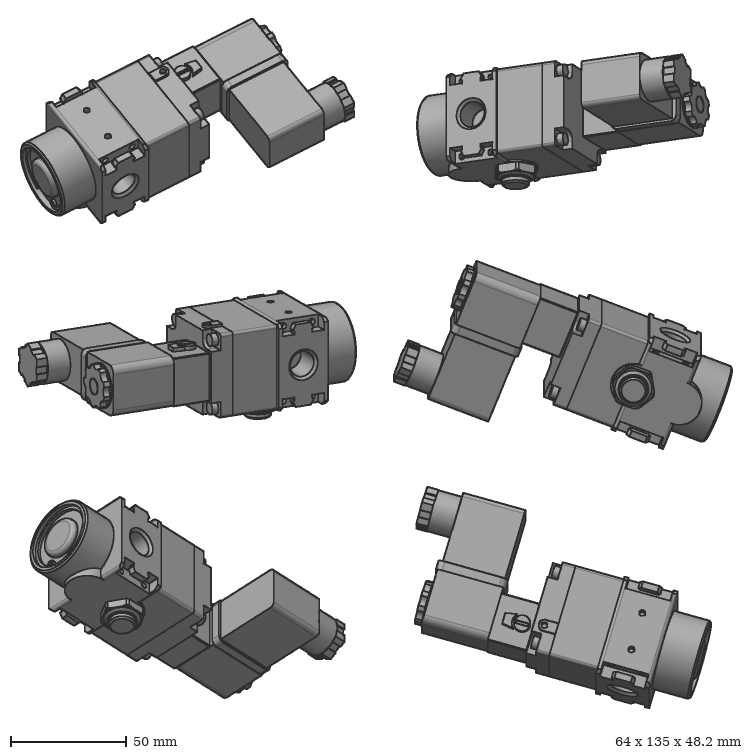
import cadquery as cq
import math


BLOCK_WIDTH = 45.0
BLOCK_LENGTH = 24.0
BLOCK_HEIGHT = 40.0
BLOCK_CHAMFER = 2.0
BLOCK_FILLET = 1.5
PORT_Y = BLOCK_LENGTH / 2
PORT_DIAMETER = 11.5
PORT_MOUTH_DIAMETER = 14.0
PORT_DEPTH = 13.5
GAUGE_HOLE_DIAMETER = 2.7
GAUGE_HOLE_DEPTH = 4.0
GAUGE_HOLE_X = 8.5

POCKET_LENGTH = 20.2
POCKET_WIDTH = 5.4
POCKET_HEIGHT = 5.7
TAB_THICKNESS = 3.0
TAB_ROOT_HALF_WIDTH = 4.3
TAB_BULGE_HALF_WIDTH = 5.0
TAB_TIP_HALF_WIDTH = 3.6
TAB_BULGE_START = 1.2
TAB_BULGE_PEAK = 2.0
TAB_HEIGHT = 4.5
CLAMP_HOLE_DIAMETER = 2.7
CLAMP_HOLE_DEPTH = 2.7
CLAMP_HOLE_TIP = 0.8
CLAMP_HOLE_SPACING = 13.9
CLAMP_HOLE_Z = 17.0

BODY_X = 0.3
BODY_WIDTH = 42.0
BODY_HEIGHT = 38.3
BODY_END_Y = 45.6
CAP_END_Y = 56.0
BODY_FILLET = 1.2
SCREW_X = 16.3
SCREW_Z = 15.5
SCREW_HEAD_DIAMETER = 5.5
SCREW_HEAD_HEIGHT = 3.0
SCREW_POCKET_RADIUS = 3.8
SCREW_POCKET_DEPTH = 4.5

HOUSING_DIAMETER = 35.2
HOUSING_LENGTH = 16.7
HOUSING_CHAMFER = 0.8
RECESS_DIAMETER = 30.6
RECESS_DEPTH = 3.0
RING_INNER_DIAMETER = 27.7
RING_THICKNESS = 1.4
LUG_X = 6.1
LUG_Z = -11.3
LUG_DIAMETER = 3.5
LUG_HOLE_DIAMETER = 2.0
BUTTON_DIAMETER = 18.5
BUTTON_FILLET = 2.0

PAD_WIDTH = 19.6
PAD_FRONT_Y = -8.5

FITTING_Y = 22.7
FITTING_END_Z = -28.0
FITTING_HEX_SIDES = 6
FITTING_HEX_WIDTH = 17.1
FITTING_HEX_CORNER_DIAMETER = 19.0
FITTING_HEX_END_Z = -23.9
FITTING_HEX_CHAMFER = 0.5
FITTING_CONE_DIAMETER = 16.0
FITTING_COLLAR_DIAMETER = 13.0
FITTING_COLLAR_START_Z = -24.7
FITTING_COLLAR_END_Z = -25.4
FITTING_NECK_DIAMETER = 11.9
FITTING_NECK_CHAMFER = 0.8

PILOT_X = -8.5
ADAPTER_WIDTH = 22.0
ADAPTER_CHAMFER = 0.4
ADAPTER_END_Y = 73.7
OVERRIDE_Y = 61.3
OVERRIDE_DIAMETER = 7.2
OVERRIDE_HEIGHT = 1.8
OVERRIDE_SLOT_WIDTH = 1.4
OVERRIDE_SLOT_LENGTH = 5.5
OVERRIDE_SLOT_DEPTH = 1.1
POINTER_TIP_Y = 69.7
POINTER_TIP_WIDTH = 4.7
POINTER_ROOT_WIDTH = 6.5
POINTER_CLEARANCE = 1.0

BOSS_WIDTH = 5.0
BOSS_HOLE_Y = 51.3
BOSS_HOLE_DIAMETER = 2.7
BOSS_HOLE_DEPTH = 2.7
BOSS_TOP_Z = 20.2

COIL_LEFT_X = -19.6
COIL_LENGTH = 29.7
COIL_HEIGHT = 23.0
COIL_FILLET = 3.4
BAND_LEFT_X = 4.9
BAND_RIGHT_X = 9.0
BAND_HEIGHT = 23.5
BAND_OVERHANG = 0.8
BAND_FILLET = 2.8

PLUG_RIGHT_X = 41.5
PLUG_START_Y = 74.1
PLUG_END_Y = 102.2
PLUG_HEIGHT = 21.2
PLUG_FILLET = 2.0
GLAND_DIAMETER = 18.5
GLAND_END_Y = 113.1
GLAND_NUT_WIDTH = 17.0
GLAND_NUT_SIDES = 6
GLAND_NUT_END_Y = 118.3
GLAND_GROOVE_WIDTH = 3.2
GLAND_GROOVE_DEPTH = 0.7
GLAND_GROOVE_SHIFT = 0.4

NUT_DIAMETER = 19.6
NUT_FLANGE_DIAMETER = 20.0
NUT_FLANGE_HEIGHT = 0.5
NUT_END_Y = 107.0
NUT_FLUTES = 9
FLUTE_DIAMETER = 5.5
FLUTE_CIRCLE_RADIUS = 11.2
STEM_DIAMETER = 7.2
STEM_END_Y = 107.3

SINK = 0.7

BLOCK_TOP_Z = BLOCK_HEIGHT / 2
BLOCK_SIDE_X = BLOCK_WIDTH / 2
BODY_TOP_Z = BODY_HEIGHT / 2
HOUSING_END_Y = -HOUSING_LENGTH


def box_between(x, y, z):
    """Box given by its (low, high) limits along each axis."""
    size = [high - low for low, high in (x, y, z)]
    return cq.Workplane("XY").box(*size, centered=False).translate((x[0], y[0], z[0]))


def rod_y(x, z, diameter, start_y, end_y):
    """Round rod along Y."""
    circle = cq.Workplane("XZ", origin=(x, start_y, z)).circle(diameter / 2)
    return circle.extrude(start_y - end_y)


def rod_z(x, y, diameter, start_z, end_z):
    """Round rod along Z."""
    circle = cq.Workplane("XY", origin=(x, y, start_z)).circle(diameter / 2)
    return circle.extrude(end_z - start_z)


def revolved_x(profile, origin):
    """Solid turned about X from (along, radius) points, which start and end on the axis."""
    return cq.Workplane("XY", origin=origin).polyline(profile).close().revolve(360, (0, 0), (1, 0))


def four_corners(piece):
    """The piece and its mirror images on the other three X/Z corners."""
    pair = piece.union(piece.mirror("YZ"))
    return pair.union(pair.mirror("XY"))




def clamp_pocket():
    """Cutter for the upper +X corner pocket and the two drilled holes in its inner wall."""
    wall_x = BLOCK_SIDE_X - POCKET_WIDTH
    pocket = box_between(
        (wall_x, BLOCK_SIDE_X),
        (PORT_Y - POCKET_LENGTH / 2, PORT_Y + POCKET_LENGTH / 2),
        (BLOCK_TOP_Z - POCKET_HEIGHT, BLOCK_TOP_Z),
    )
    for y in (PORT_Y - CLAMP_HOLE_SPACING / 2, PORT_Y + CLAMP_HOLE_SPACING / 2):
        hole = revolved_x(
            [
                (0, 0),
                (0, CLAMP_HOLE_DIAMETER / 2),
                (-CLAMP_HOLE_DEPTH, CLAMP_HOLE_DIAMETER / 2),
                (-CLAMP_HOLE_DEPTH - CLAMP_HOLE_TIP, 0),
            ],
            (wall_x, y, CLAMP_HOLE_Z),
        )
        pocket = pocket.union(hole)
    return pocket


def clamp_tab():
    """Dovetail tab rising from the pocket floor, flush with the +X side face."""
    half_outline = [
        (TAB_ROOT_HALF_WIDTH, 0),
        (TAB_ROOT_HALF_WIDTH, TAB_BULGE_START),
        (TAB_BULGE_HALF_WIDTH, TAB_BULGE_PEAK),
        (TAB_TIP_HALF_WIDTH, TAB_HEIGHT),
    ]
    mirrored = [(-y, z) for y, z in reversed(half_outline)]
    corner = (BLOCK_SIDE_X - TAB_THICKNESS, PORT_Y, BLOCK_TOP_Z - POCKET_HEIGHT)
    return cq.Workplane("YZ", origin=corner).polyline(half_outline + mirrored).close().extrude(TAB_THICKNESS)


def port():
    """Cutter for the +X port: a bore with a 45 degree mouth."""
    return revolved_x(
        [
            (0, 0),
            (0, PORT_MOUTH_DIAMETER / 2),
            (-(PORT_MOUTH_DIAMETER - PORT_DIAMETER) / 2, PORT_DIAMETER / 2),
            (-PORT_DEPTH, PORT_DIAMETER / 2),
            (-PORT_DEPTH, 0),
        ],
        (BLOCK_SIDE_X, PORT_Y, 0),
    )


def port_block():
    """Block with chamfered long edges and rounded front and rear edges above and below."""
    block = box_between(
        (-BLOCK_SIDE_X, BLOCK_SIDE_X), (0, BLOCK_LENGTH), (-BLOCK_TOP_Z, BLOCK_TOP_Z)
    )
    block = block.edges("|Y").chamfer(BLOCK_CHAMFER)
    return block.faces("<Z or >Z").edges("|X").fillet(BLOCK_FILLET)


def cut_port_block_details(valve):
    """Cuts the clamp pockets, both ports and the gauge holes, and sets the clamp tabs."""
    valve = valve.cut(four_corners(clamp_pocket())).union(four_corners(clamp_tab()))
    valve = valve.cut(port()).cut(port().mirror("YZ"))
    for x in (-GAUGE_HOLE_X, GAUGE_HOLE_X):
        valve = valve.cut(
            rod_z(x, PORT_Y, GAUGE_HOLE_DIAMETER, BLOCK_TOP_Z, BLOCK_TOP_Z - GAUGE_HOLE_DEPTH)
        )
    return valve


def body_section(start_y, end_y):
    """Length of the common valve section, rounded along its four long edges."""
    half_width = BODY_WIDTH / 2
    section = box_between((-half_width, half_width), (start_y, end_y), (-BODY_TOP_Z, BODY_TOP_Z))
    return section.edges("|Y").fillet(BODY_FILLET).translate((BODY_X, 0, 0))


def piston_housing(valve):
    """Adds the round housing to the valve, with a recess, a snap ring and a button in front."""
    housing = rod_y(0, 0, HOUSING_DIAMETER, SINK, HOUSING_END_Y)
    housing = housing.faces("<Y").edges().chamfer(HOUSING_CHAMFER)
    floor_y = HOUSING_END_Y + RECESS_DEPTH
    valve = valve.union(housing).cut(rod_y(0, 0, RECESS_DIAMETER, floor_y, HOUSING_END_Y))
    button = rod_y(0, 0, BUTTON_DIAMETER, floor_y + SINK, HOUSING_END_Y)
    button = button.faces("<Y").edges().fillet(BUTTON_FILLET)
    return valve.union(snap_ring(floor_y)).union(button)


def snap_ring(floor_y):
    """Ring on the recess floor, open below between two drilled lugs."""
    front_y = floor_y - RING_THICKNESS
    ring = rod_y(0, 0, RECESS_DIAMETER, floor_y + SINK, front_y)
    ring = ring.cut(rod_y(0, 0, RING_INNER_DIAMETER, floor_y + SINK, front_y))
    ring = ring.cut(
        box_between((-LUG_X, LUG_X), (front_y, floor_y + SINK), (-RECESS_DIAMETER / 2, 0))
    )
    for x in (-LUG_X, LUG_X):
        ring = ring.union(rod_y(x, LUG_Z, LUG_DIAMETER, floor_y + SINK, front_y))
        ring = ring.cut(rod_y(x, LUG_Z, LUG_HOLE_DIAMETER, floor_y, front_y))
    return ring


def bottom_pad():
    """Pad with round ends that runs under the housing, the block and the body."""
    front_y = PAD_FRONT_Y + PAD_WIDTH / 2
    pad = box_between((-PAD_WIDTH / 2, PAD_WIDTH / 2), (front_y, FITTING_Y), (-BLOCK_TOP_Z, 0))
    for y in (front_y, FITTING_Y):
        pad = pad.union(rod_z(0, y, PAD_WIDTH, -BLOCK_TOP_Z, 0))
    return pad


def exhaust_fitting():
    """Hexagon with trimmed corners, then a cone, a collar and a short neck, pointing down."""
    hexagon = (
        cq.Workplane("XY", origin=(0, FITTING_Y, FITTING_HEX_END_Z))
        .polygon(FITTING_HEX_SIDES, FITTING_HEX_WIDTH, circumscribed=True)
        .extrude(-BLOCK_TOP_Z - FITTING_HEX_END_Z)
    )
    trim = rod_z(0, FITTING_Y, FITTING_HEX_CORNER_DIAMETER, FITTING_HEX_END_Z, 0)
    hexagon = hexagon.intersect(trim.faces("<Z").edges().chamfer(FITTING_HEX_CHAMFER))
    profile = [
        (0, FITTING_HEX_END_Z),
        (FITTING_CONE_DIAMETER / 2, FITTING_HEX_END_Z),
        (FITTING_COLLAR_DIAMETER / 2, FITTING_COLLAR_START_Z),
        (FITTING_COLLAR_DIAMETER / 2, FITTING_COLLAR_END_Z),
        (FITTING_NECK_DIAMETER / 2, FITTING_COLLAR_END_Z),
        (FITTING_NECK_DIAMETER / 2, FITTING_END_Z + FITTING_NECK_CHAMFER),
        (FITTING_NECK_DIAMETER / 2 - FITTING_NECK_CHAMFER, FITTING_END_Z),
        (0, FITTING_END_Z),
    ]
    turned = cq.Workplane("XZ", origin=(0, FITTING_Y, 0)).polyline(profile).close()
    return hexagon.union(turned.revolve(360, (0, 0), (0, 1)))


def make_main_valve():
    """Port block, body, pad, fitting and piston housing fused, with ports and pockets cut last."""
    valve = port_block().union(body_section(BLOCK_LENGTH - SINK, BODY_END_Y)).union(bottom_pad())
    valve = valve.union(exhaust_fitting())
    return cut_port_block_details(piston_housing(valve))




def screw_pocket():
    """Cutter for the upper +X cap corner: rounded around the screw, open to both outer faces."""
    start_y = CAP_END_Y - SCREW_POCKET_DEPTH
    outside_x = BODY_WIDTH / 2 + SINK
    outside_z = BODY_TOP_Z + SINK
    inner_x = SCREW_X - SCREW_POCKET_RADIUS
    inner_z = SCREW_Z - SCREW_POCKET_RADIUS
    pocket = box_between((inner_x, outside_x), (start_y, CAP_END_Y), (inner_z, outside_z))
    pocket = pocket.edges("|Y and <X and <Z").fillet(SCREW_POCKET_RADIUS)
    head_end_y = start_y + SCREW_HEAD_HEIGHT
    return pocket.cut(rod_y(SCREW_X, SCREW_Z, SCREW_HEAD_DIAMETER, start_y, head_end_y))


def end_cap():
    """Cap with recessed screw heads in its rear corners."""
    pockets = four_corners(screw_pocket()).translate((BODY_X, 0, 0))
    return body_section(BODY_END_Y, CAP_END_Y).cut(pockets)


def cap_boss():
    """Round-ended pad on top of the cap, and the cutter for its blind hole."""
    pad = rod_z(PILOT_X, BOSS_HOLE_Y, BOSS_WIDTH, BODY_TOP_Z - SINK, BOSS_TOP_Z)
    tail = box_between(
        (PILOT_X - BOSS_WIDTH / 2, PILOT_X + BOSS_WIDTH / 2),
        (BODY_END_Y, BOSS_HOLE_Y),
        (BODY_TOP_Z - SINK, BOSS_TOP_Z),
    )
    hole = rod_z(PILOT_X, BOSS_HOLE_Y, BOSS_HOLE_DIAMETER, BOSS_TOP_Z - BOSS_HOLE_DEPTH, BOSS_TOP_Z)
    return pad.union(tail), hole


def adapter():
    """Square block between the cap and the coil."""
    half_width = ADAPTER_WIDTH / 2
    block = box_between(
        (PILOT_X - half_width, PILOT_X + half_width),
        (CAP_END_Y, ADAPTER_END_Y),
        (-half_width, half_width),
    )
    return block.edges("|Y or <Y").chamfer(ADAPTER_CHAMFER)


def manual_override():
    """Slotted disc on top of the adapter and the pointer pad behind it."""
    low_z = ADAPTER_WIDTH / 2 - SINK
    top_z = ADAPTER_WIDTH / 2 + OVERRIDE_HEIGHT
    pointer = (
        cq.Workplane("XY", origin=(PILOT_X, 0, low_z))
        .polyline(
            [
                (-POINTER_TIP_WIDTH / 2, POINTER_TIP_Y),
                (POINTER_TIP_WIDTH / 2, POINTER_TIP_Y),
                (POINTER_ROOT_WIDTH / 2, OVERRIDE_Y + OVERRIDE_DIAMETER / 2),
                (POINTER_ROOT_WIDTH / 2, OVERRIDE_Y),
                (-POINTER_ROOT_WIDTH / 2, OVERRIDE_Y),
                (-POINTER_ROOT_WIDTH / 2, OVERRIDE_Y + OVERRIDE_DIAMETER / 2),
            ]
        )
        .close()
        .extrude(top_z - low_z)
    )
    clearance_diameter = OVERRIDE_DIAMETER + 2 * POINTER_CLEARANCE
    pointer = pointer.cut(rod_z(PILOT_X, OVERRIDE_Y, clearance_diameter, low_z, top_z))
    disc = rod_z(PILOT_X, OVERRIDE_Y, OVERRIDE_DIAMETER, low_z, top_z)
    slot = box_between(
        (PILOT_X - OVERRIDE_SLOT_WIDTH / 2, PILOT_X + OVERRIDE_SLOT_WIDTH / 2),
        (OVERRIDE_Y - OVERRIDE_SLOT_LENGTH / 2, OVERRIDE_Y + OVERRIDE_SLOT_LENGTH / 2),
        (top_z - OVERRIDE_SLOT_DEPTH, top_z),
    )
    return pointer.union(disc.cut(slot))


def coil_and_plug():
    """Coil, the slightly larger band around its joint, and the plug beside it."""
    coil_end_y = ADAPTER_END_Y + COIL_LENGTH
    coil = box_between(
        (COIL_LEFT_X, BAND_LEFT_X),
        (ADAPTER_END_Y, coil_end_y),
        (-COIL_HEIGHT / 2, COIL_HEIGHT / 2),
    )
    coil = coil.edges("|Y and <X").fillet(COIL_FILLET)
    band = box_between(
        (BAND_LEFT_X, BAND_RIGHT_X),
        (ADAPTER_END_Y - BAND_OVERHANG, coil_end_y + BAND_OVERHANG),
        (-BAND_HEIGHT / 2, BAND_HEIGHT / 2),
    )
    band = band.edges("|X").fillet(BAND_FILLET)
    plug = box_between(
        (BAND_RIGHT_X, PLUG_RIGHT_X),
        (PLUG_START_Y, PLUG_END_Y),
        (-PLUG_HEIGHT / 2, PLUG_HEIGHT / 2),
    )
    plug = plug.edges("|Y and >X").fillet(PLUG_FILLET)
    return coil.union(band).union(plug)


def cable_gland():
    """Round gland flush with the plug end, closed by a hexagon nut with a groove in each flat."""
    gland_x = PLUG_RIGHT_X - GLAND_DIAMETER / 2
    gland = rod_y(gland_x, 0, GLAND_DIAMETER, PLUG_END_Y - SINK, GLAND_END_Y)
    nut = (
        cq.Workplane("XZ", origin=(gland_x, GLAND_END_Y, 0))
        .polygon(GLAND_NUT_SIDES, GLAND_NUT_WIDTH, circumscribed=True)
        .extrude(GLAND_END_Y - GLAND_NUT_END_Y)
    )
    flat_x = gland_x - GLAND_NUT_WIDTH / 2
    groove = box_between(
        (flat_x - SINK, flat_x + GLAND_GROOVE_DEPTH),
        (GLAND_END_Y, GLAND_NUT_END_Y),
        (-GLAND_GROOVE_WIDTH / 2, GLAND_GROOVE_WIDTH / 2),
    ).translate((0, 0, -GLAND_GROOVE_SHIFT))
    for step in range(GLAND_NUT_SIDES):
        nut = nut.cut(groove.rotate((gland_x, 0, 0), (gland_x, 1, 0), step * 360 / GLAND_NUT_SIDES))
    return gland.union(nut)


def coil_nut():
    """Flanged round nut with flutes, and the stem end showing through it."""
    base_y = ADAPTER_END_Y + COIL_LENGTH
    flange_end_y = base_y + NUT_FLANGE_HEIGHT
    nut = rod_y(PILOT_X, 0, NUT_DIAMETER, base_y - SINK, NUT_END_Y)
    for step in range(NUT_FLUTES):
        angle = math.pi + 2 * math.pi * step / NUT_FLUTES
        nut = nut.cut(
            rod_y(
                PILOT_X + FLUTE_CIRCLE_RADIUS * math.cos(angle),
                FLUTE_CIRCLE_RADIUS * math.sin(angle),
                FLUTE_DIAMETER,
                flange_end_y,
                NUT_END_Y,
            )
        )
    nut = nut.union(rod_y(PILOT_X, 0, NUT_FLANGE_DIAMETER, base_y - SINK, flange_end_y))
    return nut.union(rod_y(PILOT_X, 0, STEM_DIAMETER, base_y, STEM_END_Y))


def make_solenoid_pilot():
    """End cap, adapter, coil, plug and their small parts, seated on the rear face of the valve body."""
    boss, boss_hole = cap_boss()
    cap = end_cap().union(boss).cut(boss_hole)
    pilot = cap.union(adapter()).union(manual_override()).union(coil_and_plug())
    return pilot.union(cable_gland()).union(coil_nut())


main_valve = make_main_valve()
solenoid_pilot = make_solenoid_pilot()

result = cq.Compound.makeCompound([main_valve.val(), solenoid_pilot.val()])